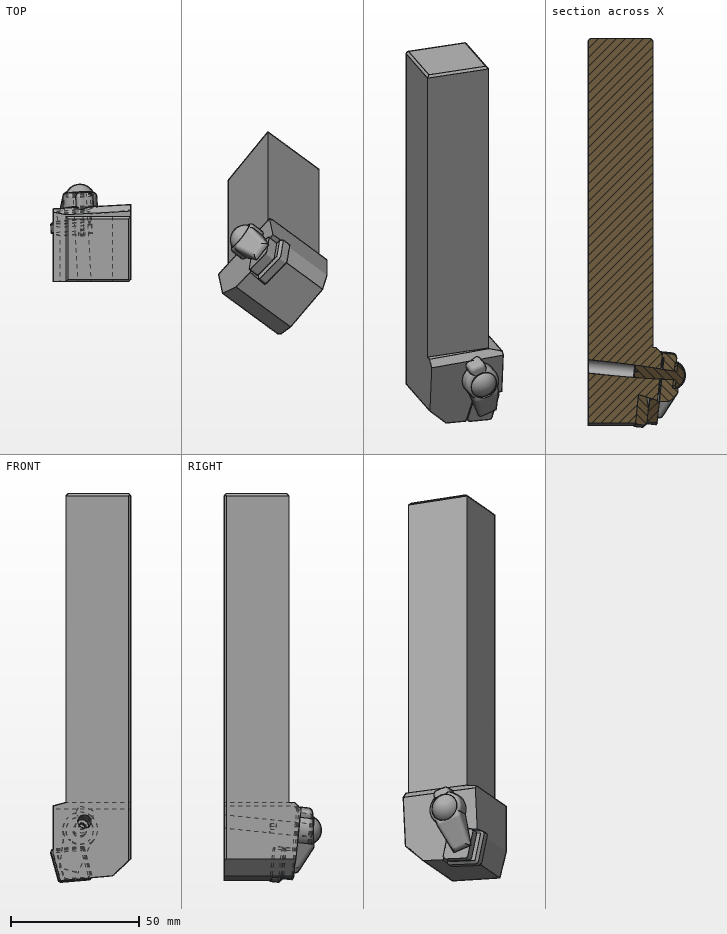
import cadquery as cq
import math

TOTAL_LENGTH = 151.8
SHANK_WIDTH = 25.3
EDGE_CHAMFER = 0.9

HEAD_OVERHANG = 5.0
LEDGE_HEIGHT = 31.3
LEDGE_DROP = 1.4
HEAD_BOTTOM = 0.8
LEAD_ANGLE = 15
END_ANGLE = 5
LEAD_START_HEIGHT = 11.2
BACK_CORNER_X = 18.2
BACK_CORNER_HEIGHT = 9.3
HEAD_STOCK = 38.0
HEAD_FACE_POINT = (-HEAD_OVERHANG, 26.7, 12.6)
LEDGE_CHAMFER_POINT = (0, 26.1, LEDGE_HEIGHT)

SIDE_RAKE = 3.2
END_RAKE = 6
SIDE_SLOPE = math.tan(math.radians(SIDE_RAKE))
END_SLOPE = math.tan(math.radians(END_RAKE))
RAKE_NORMAL = cq.Vector(-SIDE_SLOPE, 1, -END_SLOPE).normalized()
LEDGE_CHAMFER_NORMAL = cq.Vector(-SIDE_SLOPE, 1, 1)

SEAT_CORNER = (-2.6, 17.9, 0.3)
INSERT_EDGE = 13.2
INSERT_THICKNESS = 4.4
INSERT_BEVEL = 1.0
INSERT_CORNER_RADIUS = 1.2
BREAKER_END_INSET = 1.4
BREAKER_LEAD_INSET = 2.7
BREAKER_THICKNESS = 4.0
BREAKER_CORNER_RADIUS = 1.2

SCREW_ENTRY = (7.3, 0, 23.8)
FACE_OFFSET = (cq.Vector(HEAD_FACE_POINT) - cq.Vector(SCREW_ENTRY)).dot(RAKE_NORMAL)
CLAMP_GAP = 0.6
CLAMP_OFFSET = FACE_OFFSET + CLAMP_GAP
CLAMP_TURN = 16
BODY_RADIUS = 6.7
HEEL_END = 8.5
HEEL_WIDTH = 6.7
HEEL_CORNER_RADIUS = 1.7
HEEL_LEG_DEPTH = 3.0
HEEL_HEIGHT = 4.9
RIDGE_POSITION = 5.6
RIDGE_HEIGHT = 7.0
NOSE_END = 16.7
NOSE_HEIGHT = 2.0
NOSE_WIDTH = 7.6
NOSE_ROOT_WIDTH = 11.8
CLAMP_FILLET = 1.8
TOP_FACE_COSINE = 0.5

SCREW_DIAMETER = 5.2
SCREW_END_OFFSET = 18.2
SOCKET_SIZE = 2.6
SOCKET_DEPTH = 2.3
WASHER_SEAT = 4.7
WASHER_RADIUS = 5.3
WASHER_THICKNESS = 1.0
DOME_RADIUS = 5.3
DOME_HEIGHT = 3.5


def tilted_plane(origin, normal):
    """Plane at `origin` facing `normal`, with local x near +X and local y near -Z."""
    return cq.Plane(origin=origin, xDir=(normal.y, -normal.x, 0), normal=normal)


def space_beyond(origin, normal):
    """Large block filling the space in front of a plane."""
    size = 2 * TOTAL_LENGTH
    return cq.Workplane(tilted_plane(origin, normal)).rect(size, size).extrude(HEAD_STOCK)


def diamond(height, start=0, lead_inset=0, end_inset=0):
    """Diamond prism above the seat, drawn in from its two cutting edges by the insets."""
    lead = math.radians(LEAD_ANGLE)
    end = math.radians(END_ANGLE)
    lead_step = cq.Vector(-math.sin(lead), -math.cos(lead))
    end_step = cq.Vector(math.cos(end), -math.sin(end))
    lead_near = lead_step * end_inset
    lead_far = lead_step * INSERT_EDGE
    end_near = end_step * lead_inset
    end_far = end_step * INSERT_EDGE
    corners = [lead_near + end_near, lead_near + end_far, lead_far + end_far, lead_far + end_near]
    seat = cq.Workplane(tilted_plane(SEAT_CORNER, RAKE_NORMAL)).workplane(offset=start)
    return seat.polyline([(c.x, c.y) for c in corners]).close().extrude(height)


def screw_axis_plane(offset):
    """Workplane square to the screw axis, `offset` along it from the base of the holder."""
    return cq.Workplane(tilted_plane(SCREW_ENTRY, RAKE_NORMAL)).workplane(offset=offset)


def make_holder():
    """Square shank with a raked head, an insert pocket and a tilted screw hole."""
    shank = cq.Workplane("XY").box(SHANK_WIDTH, SHANK_WIDTH, TOTAL_LENGTH - LEDGE_HEIGHT, centered=False)
    shank = shank.translate((0, 0, LEDGE_HEIGHT)).faces(">Z").edges().chamfer(EDGE_CHAMFER)

    lead_foot_x = -HEAD_OVERHANG + (LEAD_START_HEIGHT - HEAD_BOTTOM) * math.tan(math.radians(LEAD_ANGLE))
    end_rise = (BACK_CORNER_X - lead_foot_x) * math.tan(math.radians(END_ANGLE))
    outline = [
        (0, LEDGE_HEIGHT),
        (-HEAD_OVERHANG, LEDGE_HEIGHT - LEDGE_DROP),
        (-HEAD_OVERHANG, LEAD_START_HEIGHT),
        (lead_foot_x, HEAD_BOTTOM),
        (BACK_CORNER_X, HEAD_BOTTOM + end_rise),
        (SHANK_WIDTH, BACK_CORNER_HEIGHT),
        (SHANK_WIDTH, LEDGE_HEIGHT),
    ]
    head = cq.Workplane("XZ").polyline(outline).close().extrude(-HEAD_STOCK)
    head = head.cut(space_beyond(HEAD_FACE_POINT, RAKE_NORMAL))
    head = head.cut(space_beyond(LEDGE_CHAMFER_POINT, LEDGE_CHAMFER_NORMAL))

    body = shank.union(head)
    body = body.edges(cq.selectors.NearestToPointSelector((SHANK_WIDTH, 0, TOTAL_LENGTH / 2)))
    body = body.chamfer(EDGE_CHAMFER)

    pocket = diamond(HEAD_STOCK)
    screw_hole = screw_axis_plane(-SHANK_WIDTH).circle(SCREW_DIAMETER / 2).extrude(3 * SHANK_WIDTH)
    return body.cut(pocket).cut(screw_hole)


def make_insert():
    """Diamond insert with rounded corners and a bevel around its top face."""
    insert = diamond(INSERT_THICKNESS)
    insert = insert.edges(cq.selectors.ParallelDirSelector(RAKE_NORMAL)).fillet(INSERT_CORNER_RADIUS)
    return insert.faces(cq.selectors.DirectionMinMaxSelector(RAKE_NORMAL)).edges().chamfer(INSERT_BEVEL)


def make_breaker():
    """Chip breaker plate lying on the insert."""
    breaker = diamond(BREAKER_THICKNESS, INSERT_THICKNESS, BREAKER_LEAD_INSET, BREAKER_END_INSET)
    return breaker.edges(cq.selectors.ParallelDirSelector(RAKE_NORMAL)).fillet(BREAKER_CORNER_RADIUS)


def heel_block(base, height):
    """Round-cornered block from the screw axis back to the heel of the clamp."""
    block = base.center(-HEEL_END / 2, 0).rect(HEEL_END, HEEL_WIDTH).extrude(height)
    return block.edges(cq.selectors.ParallelDirSelector(RAKE_NORMAL)).fillet(HEEL_CORNER_RADIUS)


def round_top(clamp):
    """Round the rim of the two sloping faces on top of the clamp."""
    top_faces = [f for f in clamp.faces().vals() if f.normalAt().dot(RAKE_NORMAL) > TOP_FACE_COSINE]
    rims = cq.Workplane().newObject(top_faces).edges().vals()
    return cq.Workplane(clamp.val().fillet(CLAMP_FILLET, rims))


def make_clamp(holder, breaker):
    """Clamp that rests with its heel on the ledge chamfer and its nose on the chip breaker."""
    base = screw_axis_plane(CLAMP_OFFSET).transformed(rotate=(0, 0, 90 + CLAMP_TURN))
    height = 2 * RIDGE_HEIGHT
    heel = heel_block(base, height)
    nose_outline = [
        (0, -NOSE_ROOT_WIDTH / 2),
        (NOSE_END, -NOSE_WIDTH / 2),
        (NOSE_END, NOSE_WIDTH / 2),
        (0, NOSE_ROOT_WIDTH / 2),
    ]
    nose = base.polyline(nose_outline).close().extrude(height)
    clamp = base.circle(BODY_RADIUS).extrude(height).union(heel).union(nose)

    profile = [
        (-HEEL_END, 0),
        (-HEEL_END, HEEL_HEIGHT),
        (RIDGE_POSITION, RIDGE_HEIGHT),
        (NOSE_END, NOSE_HEIGHT),
        (NOSE_END, 0),
    ]
    side = base.transformed(rotate=(90, 0, 0))
    clamp = clamp.intersect(side.polyline(profile).close().extrude(NOSE_ROOT_WIDTH, both=True))
    clamp = round_top(clamp)
    clamp = clamp.cut(base.circle(SCREW_DIAMETER / 2).extrude(height))
    clamp = clamp.cut(base.workplane(offset=WASHER_SEAT).circle(WASHER_RADIUS).extrude(height))

    leg = heel_block(base, -HEEL_LEG_DEPTH)
    leg = leg.cut(base.circle(BODY_RADIUS).extrude(-HEEL_LEG_DEPTH))
    return clamp.union(leg).cut(holder).cut(breaker)


def make_washer():
    """Flat washer sunk into the top of the clamp."""
    seat = screw_axis_plane(CLAMP_OFFSET + WASHER_SEAT)
    return seat.circle(WASHER_RADIUS).circle(SCREW_DIAMETER / 2).extrude(WASHER_THICKNESS)


def make_screw():
    """Dome-headed screw with a hexagonal socket in its lower end."""
    head_offset = CLAMP_OFFSET + WASHER_SEAT + WASHER_THICKNESS
    stem = screw_axis_plane(SCREW_END_OFFSET).circle(SCREW_DIAMETER / 2)
    stem = stem.extrude(head_offset - SCREW_END_OFFSET)
    socket = screw_axis_plane(SCREW_END_OFFSET).polygon(6, SOCKET_SIZE).extrude(SOCKET_DEPTH)
    sphere_radius = (DOME_RADIUS**2 + DOME_HEIGHT**2) / (2 * DOME_HEIGHT)
    ball = screw_axis_plane(head_offset + DOME_HEIGHT - sphere_radius).sphere(sphere_radius)
    dome = ball.intersect(screw_axis_plane(head_offset).circle(2 * DOME_RADIUS).extrude(2 * DOME_HEIGHT))
    return stem.union(dome).cut(socket)


holder = make_holder()
insert = make_insert()
breaker = make_breaker()
clamp = make_clamp(holder, breaker)
washer = make_washer()
screw = make_screw()

bodies = [holder, insert, breaker, clamp, washer, screw]
result = cq.Compound.makeCompound([body.solids().val() for body in bodies])